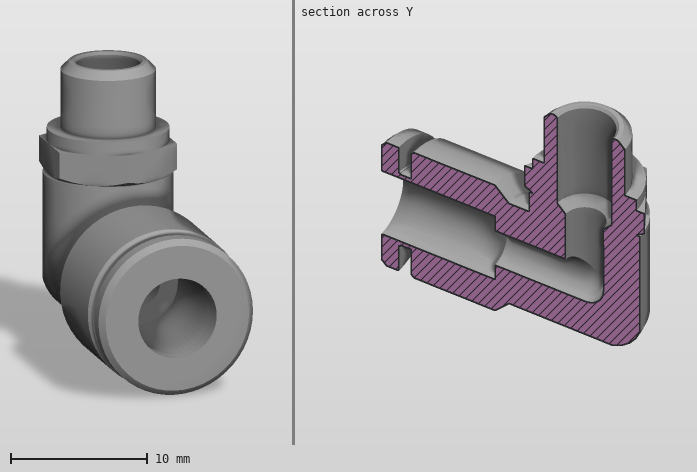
import cadquery as cq
import math


elbow_diameter = 9.6
elbow_radius = elbow_diameter / 2
corner_pivot = 1.45
corner_start = 2.43

hex_across_flats = 9.0
hex_across_corners = hex_across_flats / math.cos(math.radians(30))
hex_bottom = 6.67
hex_height = 2.34
hex_chamfer_angle = 30
collar_diameter = 9.0
collar_height = 1.0
stud_diameter = 7.0
stud_height = 5
stud_chamfer = 0.61
hex_top = hex_bottom + hex_height
collar_top = hex_top + collar_height
stud_top = collar_top + stud_height

overall_length = 22.7
port_end = overall_length - hex_across_corners / 2
socket_diameter = 12.0
shoulder_start = 6.51
shoulder_length = (socket_diameter - elbow_diameter) / 2
socket_end = 14.98
socket_chamfer = 0.27
neck_diameter = 6.8
neck_lip_diameter = 7.04
neck_lip_length = 0.14
ring_diameter = 11.8
ring_thickness = 1.5
ring_chamfer = 0.43
ring_start = port_end - ring_thickness

passage_diameter = 3.25
stud_bore_diameter = 4.68
stud_bore_chamfer = 0.2
stud_bore_bottom = hex_bottom
tube_diameter = 6.0
tube_stop = shoulder_start + shoulder_length


def cylinder_z(diameter, bottom, top):
    return cq.Workplane("XY").workplane(offset=bottom).circle(diameter / 2).extrude(top - bottom)


def cylinder_x(diameter, start, end):
    return cq.Workplane("YZ").workplane(offset=start).circle(diameter / 2).extrude(end - start)


def elbow_leg(length):
    """Upright leg, mitred at 45 degrees and ended at the start of the outer corner."""
    outline = [
        (-corner_pivot, -corner_pivot),
        (-elbow_radius, -corner_start),
        (-elbow_radius, length),
        (elbow_radius, length),
        (elbow_radius, elbow_radius),
    ]
    mitre = cq.Workplane("XZ").polyline(outline).close().extrude(elbow_radius, both=True)
    return cylinder_z(elbow_diameter, -elbow_radius, length).intersect(mitre)


def elbow_corner():
    """Outer corner: the elliptical end of a leg turned about the line where both ends meet."""
    tilt = math.atan2(corner_start - corner_pivot, elbow_radius - corner_pivot)
    end_plane = cq.Plane(
        origin=(-corner_pivot, 0, -corner_pivot),
        xDir=(-math.cos(tilt), 0, -math.sin(tilt)),
        normal=(-math.sin(tilt), 0, math.cos(tilt)),
    )
    half_angle = math.degrees(math.acos(corner_pivot / elbow_radius))
    segment = (
        cq.Workplane(end_plane)
        .moveTo(-corner_pivot / math.cos(tilt), 0)
        .ellipseArc(
            elbow_radius / math.cos(tilt), elbow_radius, -half_angle, half_angle, startAtCurrent=False
        )
        .close()
    )
    return segment.revolve(90 - 2 * math.degrees(tilt), (0, 0), (0, 1))


def elbow():
    upright = elbow_leg(hex_bottom)
    level = elbow_leg(shoulder_start).rotate((0, 0, 0), (1, 0, 1), 180)
    return upright.union(level).union(elbow_corner())


def hexagon():
    """Hexagon with corners on X, its lower corners trimmed by a cone."""
    prism = cq.Workplane("XY").workplane(offset=hex_bottom).polygon(6, hex_across_corners).extrude(hex_height)
    corner_radius = hex_across_corners / 2
    flat_radius = hex_across_flats / 2
    trim_height = (corner_radius - flat_radius) * math.tan(math.radians(hex_chamfer_angle))
    envelope = [
        (0, hex_bottom),
        (flat_radius, hex_bottom),
        (corner_radius, hex_bottom + trim_height),
        (corner_radius, hex_top),
        (0, hex_top),
    ]
    cone = cq.Workplane("XZ").polyline(envelope).close().revolve(360, (0, 0), (0, 1))
    return prism.intersect(cone)


def stud():
    collar = cylinder_z(collar_diameter, hex_top, collar_top)
    spigot = cylinder_z(stud_diameter, collar_top, stud_top).faces(">Z").chamfer(stud_chamfer)
    return hexagon().union(collar).union(spigot)


def tube_port():
    socket = (
        cylinder_x(socket_diameter, shoulder_start, socket_end)
        .faces(">X")
        .chamfer(socket_chamfer)
        .intersect(shoulder_cone())
    )
    neck = cylinder_x(neck_diameter, socket_end, ring_start)
    lip = cylinder_x(neck_lip_diameter, ring_start - neck_lip_length, ring_start)
    ring = cylinder_x(ring_diameter, ring_start, port_end).faces(">X").chamfer(ring_chamfer)
    return socket.union(neck).union(lip).union(ring)


def shoulder_cone():
    """Envelope of the socket, widening at 45 degrees from the elbow diameter."""
    outline = [
        (shoulder_start, 0),
        (shoulder_start, elbow_radius),
        (shoulder_start + shoulder_length, socket_diameter / 2),
        (socket_end, socket_diameter / 2),
        (socket_end, 0),
    ]
    return cq.Workplane("XZ").polyline(outline).close().revolve(360, (0, 0), (1, 0))


def bores():
    """Stepped stud bore, round-ended passage and tube socket."""
    passage_radius = passage_diameter / 2
    bore_radius = stud_bore_diameter / 2
    bore_cone_height = bore_radius - passage_radius
    outline = [
        (0, 0),
        (passage_radius, 0),
        (passage_radius, stud_bore_bottom - bore_cone_height),
        (bore_radius, stud_bore_bottom),
        (bore_radius, stud_top - stud_bore_chamfer),
        (bore_radius + stud_bore_chamfer, stud_top),
        (0, stud_top),
    ]
    stud_bore = cq.Workplane("XZ").polyline(outline).close().revolve(360, (0, 0), (0, 1))
    turn = cq.Workplane("XY").sphere(passage_radius)
    passage = cylinder_x(passage_diameter, 0, tube_stop)
    tube_socket = cylinder_x(tube_diameter, tube_stop, port_end)
    return stud_bore.union(turn).union(passage).union(tube_socket)


result = elbow().union(stud()).union(tube_port()).cut(bores())